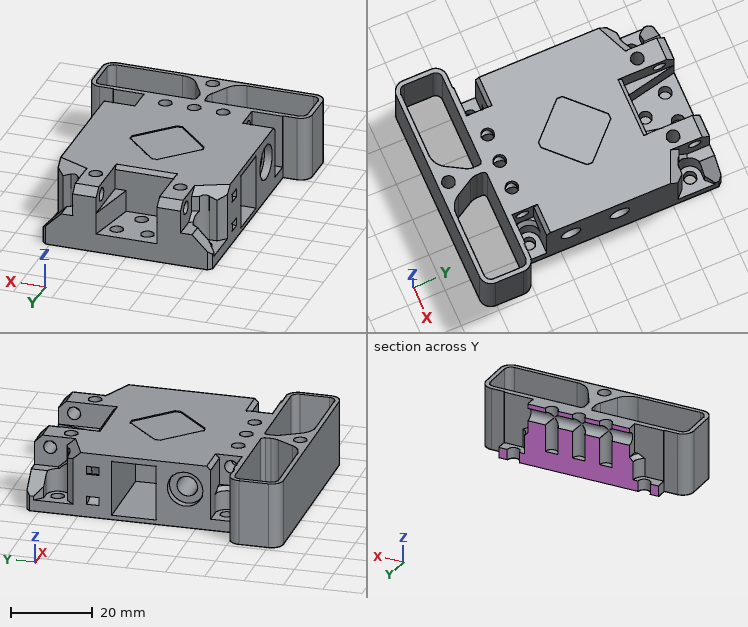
import cadquery as cq
import math

height = 17.0
body_width = 44.0
body_rear = 66.5
handle_width = 57.2
handle_depth = 13.5
handle_wall = 1.2
handle_corner = 3.0
cut_margin = 5.0

body_half = body_width / 2
top_beyond = height + cut_margin

screw_dia = 3.3
screw_x = 18.0
front_screw_y = 16.5
screw_pitch_y = 43.0
rear_screw_y = front_screw_y + screw_pitch_y
blind_screw_depth = 12.0

pocket_inner_x = 14.0
pocket_floor = 3.0
pocket_ledge = 9.0
head_radius = 3.0


def box(x_range, y_range, z_range):
    """Box between two limits on each axis."""
    size = [high - low for low, high in (x_range, y_range, z_range)]
    corner = (x_range[0], y_range[0], z_range[0])
    return cq.Workplane("XY").box(*size, centered=False).translate(corner)


def vertical_hole(x, y, z_bottom, z_top, diameter=screw_dia):
    """Round cutter standing along Z."""
    return cq.Workplane("XY", origin=(x, y, z_bottom)).circle(diameter / 2).extrude(z_top - z_bottom)


def cross_hole(y, z, diameter, x_start=-body_half - cut_margin, x_end=body_half + cut_margin):
    """Round cutter lying along X."""
    return cq.Workplane("YZ", origin=(x_start, y, z)).circle(diameter / 2).extrude(x_end - x_start)


def side_prism(profile, x_range):
    """Prism with a Y-Z profile, running along X."""
    low, high = x_range
    return cq.Workplane("YZ", origin=(low, 0, 0)).polyline(profile).close().extrude(high - low)


def both_sides(cutter):
    """The cutter together with its mirror image across X = 0."""
    return cutter.union(cutter.mirror("YZ"))


rear_corner_chamfer = 1.0


def make_body():
    block = box((-body_half, body_half), (handle_depth / 2, body_rear), (0, height))
    block = block.edges("|Z and >Y").chamfer(rear_corner_chamfer)
    handle = box((-handle_width / 2, handle_width / 2), (0, handle_depth), (0, height))
    return block.union(handle.edges("|Z").fillet(handle_corner))


web_half = 1.05
web_flare_start = 8.9
web_flare_angle = 30.0
web_rear_fillet = 1.0
web_bend_fillet = 4.0
web_foot_fillet = 5.0


def handle_windows():
    """Two through windows leaving a central web that flares around the handle screw."""
    outer = handle_width / 2 - handle_wall
    front = handle_wall
    rear = handle_depth - handle_wall
    foot = web_half + (web_flare_start - front) * math.tan(math.radians(web_flare_angle))
    outline = [(-outer, front), (-foot, front), (-web_half, web_flare_start), (-web_half, rear), (-outer, rear)]
    window = cq.Workplane("XY").polyline(outline).close().extrude(height)
    window = window.edges("|Z and <X").fillet(handle_corner - handle_wall)
    reach = 0.1

    def round_edge(solid, point, radius):
        x, y = point
        near_corner = cq.selectors.BoxSelector(
            (x - reach, y - reach, -reach), (x + reach, y + reach, height + reach)
        )
        return solid.edges("|Z").edges(near_corner).fillet(radius)

    window = round_edge(window, (-foot, front), web_foot_fillet)
    window = round_edge(window, (-web_half, web_flare_start), web_bend_fillet)
    window = round_edge(window, (-web_half, rear), web_rear_fillet)
    return both_sides(window)


front_pocket_start = 13.75
front_pocket_chamfer = 1.0


def front_pockets():
    """Stepped screw pocket in each front corner, with a countersunk edge on the lower step."""
    wall = front_screw_y + head_radius
    beyond = -body_half - cut_margin
    span = (front_pocket_start, wall)
    profile = [
        (front_pocket_start, pocket_ledge),
        (wall, pocket_ledge),
        (wall, height - front_pocket_chamfer),
        (wall + front_pocket_chamfer, height),
        (front_pocket_start, height),
    ]
    upper = side_prism(profile, (beyond, -pocket_inner_x))
    lower = vertical_hole(-screw_x, front_screw_y, pocket_floor, height, 2 * head_radius)
    cone_start = pocket_ledge - front_pocket_chamfer
    cone = (
        cq.Workplane("XY", origin=(-screw_x, front_screw_y, cone_start))
        .circle(head_radius)
        .workplane(offset=front_pocket_chamfer)
        .circle(head_radius + front_pocket_chamfer)
        .loft(ruled=True)
    )
    lower = lower.union(cone).union(box((beyond, -screw_x), span, (pocket_floor, height)))
    lower = lower.intersect(box((beyond, 0), span, (0, height)))
    return both_sides(upper.union(lower))


mouth_flare = 2.0
slant_angle = 24.0
slant_start_y = 52.5
slant_chamfer = 2.0
ledge_ramp = 2.0
rear_slope_top_x = 17.0


def rear_screw_pocket():
    """U-shaped screw pocket whose mouth flares at 45 degrees towards the side face."""
    flare_x = body_half - mouth_flare
    mouth = head_radius + mouth_flare + cut_margin
    outline = [
        (-screw_x, rear_screw_y - head_radius),
        (-flare_x, rear_screw_y - head_radius),
        (-body_half - cut_margin, rear_screw_y - mouth),
        (-body_half - cut_margin, rear_screw_y + mouth),
        (-flare_x, rear_screw_y + head_radius),
        (-screw_x, rear_screw_y + head_radius),
    ]
    slot = cq.Workplane("XY", origin=(0, 0, pocket_floor)).polyline(outline).close().extrude(height)
    return slot.union(vertical_hole(-screw_x, rear_screw_y, pocket_floor, top_beyond, 2 * head_radius))


def slanted_cut(profile):
    """Prism along the slanted top edge; the profile is (distance behind that edge, Z)."""
    slant = math.radians(slant_angle)
    along = (math.cos(slant), math.sin(slant), 0)
    plane = cq.Plane(
        origin=(-body_half, slant_start_y, 0),
        xDir=(-math.sin(slant), math.cos(slant), 0),
        normal=along,
    )
    prism = cq.Workplane(plane).polyline(profile).close().extrude(body_width, both=True)
    window = box((-body_half - cut_margin, -pocket_inner_x), (0, body_rear + cut_margin), (0, top_beyond))
    return prism.intersect(window)


def rear_pockets():
    """Rear corner cut-outs: screw pocket, ledge, slanted wall and sloped rear corner."""
    beyond = -body_half - cut_margin
    rear = body_rear + cut_margin
    far = body_rear
    drop = height - pocket_ledge
    bevel = slanted_cut([(0, height), (drop, pocket_ledge), (far, pocket_ledge), (far, height)])
    wall = slanted_cut([
        (slant_chamfer, height),
        (slant_chamfer, pocket_ledge + ledge_ramp),
        (slant_chamfer + ledge_ramp, pocket_ledge),
        (far, pocket_ledge),
        (far, height),
    ])
    wall = wall.intersect(box((-screw_x, 0), (0, rear), (0, height)))
    ledge = box((beyond, -screw_x), (rear_screw_y, rear), (pocket_ledge, height))
    slope_bottom = pocket_ledge + rear_slope_top_x + beyond
    slope = (
        cq.Workplane("XZ", origin=(0, rear, 0))
        .polyline([(-rear_slope_top_x, pocket_ledge), (beyond, slope_bottom), (beyond, pocket_ledge)])
        .close()
        .extrude(rear - rear_screw_y)
    )
    cutter = rear_screw_pocket().union(bevel).union(wall).union(ledge).union(slope)
    floor_limit = box((beyond, 0), (0, rear), (pocket_floor, top_beyond))
    return both_sides(cutter.intersect(floor_limit))


notch_half = 7.9
notch_front = 52.5
notch_chamfer = 1.0
notch_shelf = 10.7
notch_floor = 5.0
notch_front_half = 5.0
arm_chamfer = 2.0


def rear_notch():
    """Notch with a chamfered front edge and a tapered lower pocket between two shelves."""
    profile = [
        (notch_front, notch_shelf),
        (notch_front, height - notch_chamfer),
        (notch_front - notch_chamfer, height),
        (body_rear, height),
        (body_rear, notch_shelf),
    ]
    upper = side_prism(profile, (-notch_half, notch_half))
    taper = [
        (-notch_front_half, notch_front),
        (notch_front_half, notch_front),
        (notch_half, body_rear),
        (-notch_half, body_rear),
    ]
    lower = cq.Workplane("XY", origin=(0, 0, notch_floor)).polyline(taper).close()
    return upper.union(lower.extrude(notch_shelf - notch_floor))


def arm_end_chamfer():
    profile = [(body_rear - arm_chamfer, height), (body_rear, height), (body_rear, height - arm_chamfer)]
    return side_prism(profile, (-pocket_inner_x, pocket_inner_x))


cross_screw_z = 14.0
rear_cross_y = 62.5
bore_dia = 5.2
bore_z = 10.25
counterbore_dia = 9.0
counterbore_depth = 2.0
counterbore_y = 26.0
side_pocket_y = 39.0
side_pocket_width = 11.3
side_pocket_floor = 1.2
side_pocket_top = 15.5
side_pocket_depth = 22.0
tie_y = 49.45
tie_width = 3.1
tie_z = 8.45
tie_outer = 5.05
tie_inner = 2.95


def side_pocket():
    half = side_pocket_width / 2
    return box(
        (-body_half, -body_half + side_pocket_depth),
        (side_pocket_y - half, side_pocket_y + half),
        (side_pocket_floor, side_pocket_top),
    )


def tie_channel():
    """Curved cable-tie channel joining the two slots in the side face."""
    ring_plane = cq.Workplane("XZ", origin=(-body_half, tie_y + tie_width / 2, tie_z))
    return ring_plane.circle(tie_outer).circle(tie_inner).extrude(tie_width)


def side_openings():
    cutter = side_pocket().union(tie_channel())
    for y in (front_screw_y, rear_cross_y):
        cutter = cutter.union(cross_hole(y, cross_screw_z, screw_dia))
    for y in (counterbore_y, side_pocket_y):
        cutter = cutter.union(cross_hole(y, bore_z, bore_dia))
    bottom = -body_half + counterbore_depth
    return cutter.union(cross_hole(counterbore_y, bore_z, counterbore_dia, x_end=bottom))


handle_screw_y = 2.8
row_pitch = 7.5
arm_screw_x = 11.0
arm_screw_y = 58.0
notch_screw_spread = 4.0
notch_rear_screw_y = 62.4
notch_front_screw_y = 55.4
notch_screw_depth = 4.0


def screw_holes():
    through = [(0, handle_screw_y)]
    through += [(side * screw_x, y) for side in (-1, 1) for y in (front_screw_y, rear_screw_y)]
    blind = [(step * row_pitch, front_screw_y) for step in (-1, 0, 1)]
    blind += [(side * arm_screw_x, arm_screw_y) for side in (-1, 1)]
    notch = [(side * notch_screw_spread, notch_rear_screw_y) for side in (-1, 1)]
    notch.append((0, notch_front_screw_y))
    spans = [
        (through, 0, height),
        (blind, height - blind_screw_depth, height),
        (notch, notch_floor - notch_screw_depth, notch_floor),
    ]
    holes = cq.Workplane("XY")
    for places, bottom, top in spans:
        for x, y in places:
            holes = holes.add(vertical_hole(x, y, bottom, top))
    return holes.combine()


badge_y = 36.5
badge_side = 14.2
badge_corner = 1.0
badge_depth = 0.3


def badge_recess():
    """Shallow diamond recess with cut corners in the top face."""
    square = cq.Workplane("XY").rect(badge_side, badge_side).extrude(badge_depth)
    diamond = square.edges("|Z").chamfer(badge_corner).rotate((0, 0, 0), (0, 0, 1), 45)
    return diamond.translate((0, badge_y, height - badge_depth))


result = (
    make_body()
    .cut(handle_windows())
    .cut(front_pockets())
    .cut(rear_pockets())
    .cut(rear_notch())
    .cut(arm_end_chamfer())
    .cut(side_openings())
    .cut(screw_holes())
    .cut(badge_recess())
)